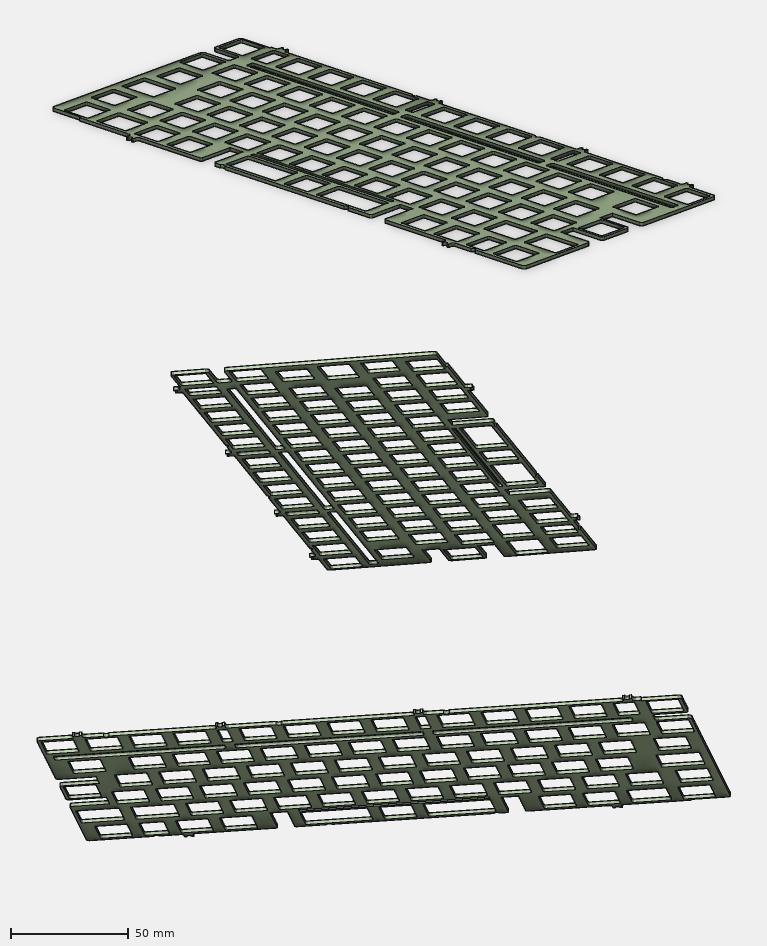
import cadquery as cq

LENGTH = 279.0
DEPTH = 124.0
THICK = 1.6
EDGE_Y = 59.0
CORNER_EDGE_Y = 58.3
CORNER_STEP_X = -122.2
CORNER_RADIUS = 1.5

LAST_KEY = 13.75
KEY_SPAN = 262.0
PITCH = KEY_SPAN / LAST_KEY
WALL = 5.0
CUTOUT = PITCH - WALL
KEY_MARGIN = CUTOUT / 2 + WALL
CUTOUT_RADIUS = 0.5
SPACE_KEY = 7.04
MODIFIER_OFFSET = 3.625
FIRST_MODIFIER = 0.25
LAST_MODIFIER = 13.5
LEFT_SHIFT = 0.125
RIGHT_SHIFT = 13.5
CAPS_LOCK = (0.125, 0.375)
TAB_KEY = 0.25
BACKSPACE = 13.375

DIGIT_RUN = (0, 13)
TAB_RUN = (1.5, 12)
HOME_RUN = (1.75, 12)
SHIFT_RUN = (1.25, 11)

MODIFIER_Y = -50.2
SHIFT_Y = MODIFIER_Y + PITCH
HOME_Y = MODIFIER_Y + 2 * PITCH
TAB_Y = MODIFIER_Y + 3 * PITCH
DIGIT_Y = MODIFIER_Y + 4 * PITCH
FUNCTION_Y = -MODIFIER_Y
ENTER_Y = (HOME_Y + TAB_Y) / 2

BLOCK_STARTS = (1.75, 6.25, 10.75)
BLOCK_KEYS = 4

RELIEF_LOW_Y = 35.7
RELIEF_HIGH_Y = 40.0
RELIEF_LEFT_X = -114.6
RELIEF_RIGHT_X = 135.8
RELIEF_WEB = 4.2
RELIEF_RADIUS = 0.8

LEFT_NOTCH_LOW_Y = 35.0
LEFT_NOTCH_HIGH_Y = 41.5
LEFT_NOTCH_RADIUS = 1.5

ENTER_NOTCH_X = 122.2
ENTER_NOTCH_WIDTH = 7.5
ENTER_FRAME_HALF = 8.5

SPACE_HALF_SPAN = 41.3
SPACE_SLOT_WIDTH = 1.7
SPACE_SLOT_RADIUS = 0.3
STABILIZER_OFFSET = MODIFIER_OFFSET - 1
STABILIZER_WIDTH = 7.5
STABILIZER_TOP_Y = -41.3
STABILIZER_RADIUS = 0.8

TAB_WIDTH = 4.0
TAB_ROOT_RADIUS = 1.0
TAB_BITE_RADIUS = 1.0
BITE_RADIUS = 1.5
BITE_DEPTH = 0.8
FRONT_TAB_XS = (-89.8, 95.7)
BITE_XS = (-38.0, 34.5, 109.3)


def key_x(units):
    """X of a key centre given in key units."""
    return (units - LAST_KEY / 2) * PITCH


def key_run(first, count):
    """Key positions of neighbouring keys, starting at `first`."""
    return [first + i for i in range(count)]


def block(x_min, x_max, y_min, y_max, radius=0.0):
    """Block through the whole thickness, with optional rounded upright edges."""
    body = cq.Workplane("XY").box(x_max - x_min, y_max - y_min, THICK)
    if radius:
        body = body.edges("|Z").fillet(radius)
    return body.translate(((x_min + x_max) / 2, (y_min + y_max) / 2, 0))


def disc(x, y, radius):
    """Round cutter taller than the plate."""
    return cq.Workplane("XY").circle(radius).extrude(THICK, both=True).translate((x, y, 0))


def row_opening(x_min, x_max, y):
    """Opening as deep as a key cutout, between two X positions."""
    return block(x_min, x_max, y - CUTOUT / 2, y + CUTOUT / 2, CUTOUT_RADIUS)


def key_opening(first, y, last=None):
    """Key cutout, widened when the key may sit anywhere from `first` to `last`."""
    last = first if last is None else last
    return row_opening(key_x(first) - CUTOUT / 2, key_x(last) + CUTOUT / 2, y)


def filler_opening(left_key, right_key, y):
    """Opening that fills the gap between two keys, leaving a wall beside each."""
    return row_opening(key_x(left_key) + KEY_MARGIN, key_x(right_key) - KEY_MARGIN, y)


left_modifiers = [SPACE_KEY - MODIFIER_OFFSET - 1, SPACE_KEY - MODIFIER_OFFSET]
right_modifiers = [SPACE_KEY + MODIFIER_OFFSET, SPACE_KEY + MODIFIER_OFFSET + 1]
function_keys = [0] + [key for start in BLOCK_STARTS for key in key_run(start, BLOCK_KEYS)]
shift_keys = key_run(*SHIFT_RUN)
rows = [
    (FUNCTION_Y, function_keys),
    (DIGIT_Y, key_run(*DIGIT_RUN) + [BACKSPACE]),
    (TAB_Y, [TAB_KEY] + key_run(*TAB_RUN)),
    (HOME_Y, key_run(*HOME_RUN)),
    (SHIFT_Y, [LEFT_SHIFT] + shift_keys),
    (MODIFIER_Y, [FIRST_MODIFIER, *left_modifiers, SPACE_KEY, *right_modifiers, LAST_MODIFIER]),
    (ENTER_Y, [LAST_KEY]),
]
cuts = [key_opening(key, y) for y, keys in rows for key in keys]

cuts.append(key_opening(CAPS_LOCK[0], HOME_Y, CAPS_LOCK[1]))
cuts.append(key_opening(RIGHT_SHIFT, SHIFT_Y, LAST_KEY))

block_ends = [0] + [start + BLOCK_KEYS - 1 for start in BLOCK_STARTS[:-1]]
for end, start in zip(block_ends, BLOCK_STARTS):
    cuts.append(filler_opening(end, start, FUNCTION_Y))
cuts.append(filler_opening(shift_keys[-1], RIGHT_SHIFT, SHIFT_Y))
cuts.append(filler_opening(FIRST_MODIFIER, left_modifiers[0], MODIFIER_Y))
cuts.append(filler_opening(right_modifiers[-1], LAST_MODIFIER, MODIFIER_Y))

space_x = key_x(SPACE_KEY)
space_left = space_x - SPACE_HALF_SPAN
space_right = space_x + SPACE_HALF_SPAN
cuts.append(row_opening(space_left, space_x - KEY_MARGIN, MODIFIER_Y))
cuts.append(row_opening(space_x + KEY_MARGIN, space_right, MODIFIER_Y))
space_slot_y = (MODIFIER_Y + SHIFT_Y) / 2
space_slot_half = SPACE_SLOT_WIDTH / 2
cuts.append(
    block(
        space_left,
        space_right,
        space_slot_y - space_slot_half,
        space_slot_y + space_slot_half,
        SPACE_SLOT_RADIUS,
    )
)

web_xs = [key_x((end + start) / 2) for end, start in zip(block_ends[1:], BLOCK_STARTS[1:])]
relief_starts = [RELIEF_LEFT_X] + [x + RELIEF_WEB / 2 for x in web_xs]
relief_ends = [x - RELIEF_WEB / 2 for x in web_xs] + [RELIEF_RIGHT_X]
for start, end in zip(relief_starts, relief_ends):
    cuts.append(block(start, end, RELIEF_LOW_Y, RELIEF_HIGH_Y, RELIEF_RADIUS))

for bite_x in BITE_XS:
    for side in (-1, 1):
        cuts.append(disc(bite_x, side * (EDGE_Y + BITE_RADIUS - BITE_DEPTH), BITE_RADIUS))


def plate_outline():
    """Plate with its stepped left corners and the notches open to its edges."""
    left = -LENGTH / 2
    right = LENGTH / 2
    plate = block(CORNER_STEP_X, right, -EDGE_Y, EDGE_Y)
    plate = plate.union(block(left, CORNER_STEP_X, -CORNER_EDGE_Y, CORNER_EDGE_Y))

    notch_x = key_x(0) + CUTOUT / 2
    left_notch = block(left, notch_x, LEFT_NOTCH_LOW_Y, LEFT_NOTCH_HIGH_Y)
    plate = plate.cut(left_notch.edges("|Z and >X").fillet(LEFT_NOTCH_RADIUS))

    frame_low = ENTER_Y - ENTER_FRAME_HALF
    frame_high = ENTER_Y + ENTER_FRAME_HALF
    plate = plate.cut(block(ENTER_NOTCH_X, right, frame_high, frame_high + ENTER_NOTCH_WIDTH))
    plate = plate.cut(block(ENTER_NOTCH_X, right, frame_low - ENTER_NOTCH_WIDTH, frame_low))
    plate = plate.edges("|Z and (<X or >X)").fillet(CORNER_RADIUS)

    for side in (-1, 1):
        slot_x = key_x(SPACE_KEY + side * STABILIZER_OFFSET)
        slot_left = slot_x - STABILIZER_WIDTH / 2
        slot_right = slot_x + STABILIZER_WIDTH / 2
        plate = plate.cut(block(slot_left, slot_right, -EDGE_Y, STABILIZER_TOP_Y))
        for corner_x in (slot_left, slot_right):
            corner = cq.selectors.NearestToPointSelector((corner_x, -EDGE_Y, 0))
            plate = plate.edges("|Z").edges(corner).fillet(STABILIZER_RADIUS)
    return plate


def break_tab(x, side):
    """Break-off tab on the back (side = 1) or front (side = -1) edge, bitten at its tip."""
    tip_y = DEPTH / 2
    root_y = EDGE_Y - BITE_DEPTH
    half_root = TAB_WIDTH / 2 + TAB_ROOT_RADIUS
    tab = block(x - TAB_WIDTH / 2, x + TAB_WIDTH / 2, root_y, tip_y)
    tab = tab.union(block(x - half_root, x + half_root, root_y, EDGE_Y + TAB_ROOT_RADIUS))
    for edge in (-1, 1):
        tab = tab.cut(disc(x + edge * half_root, EDGE_Y + TAB_ROOT_RADIUS, TAB_ROOT_RADIUS))
    tab = tab.cut(disc(x, tip_y, TAB_BITE_RADIUS))
    return tab if side > 0 else tab.mirror("XZ")


back_tab_xs = [key_x(BLOCK_STARTS[0] - 1)] + web_xs + [key_x(LAST_KEY - 1 / 2)]
tabs = [break_tab(x, 1) for x in back_tab_xs] + [break_tab(x, -1) for x in FRONT_TAB_XS]

plate_body = plate_outline().val().fuse(*[tab.val() for tab in tabs])
plate_body = plate_body.cut(*[opening.val() for opening in cuts]).clean()
result = cq.Workplane(plate_body).solids()